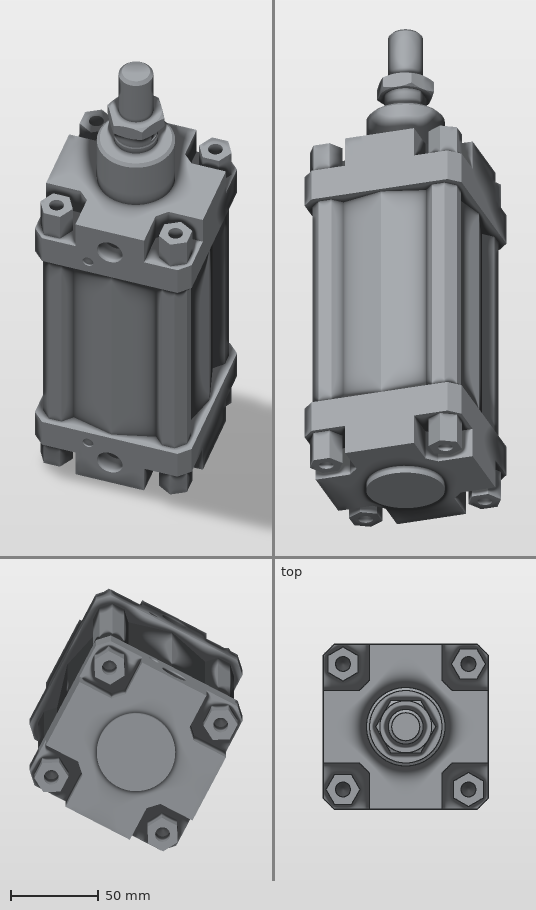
import cadquery as cq
import math


total_height = 293.0
rear_boss_height = 4.5
cap_height = 36.0
front_cap_top = 207.2
front_boss_top = 239.0
rear_cap_base = rear_boss_height
rear_cap_top = rear_cap_base + cap_height
front_cap_base = front_cap_top - cap_height

cap_width = 95.0
cap_corner_chamfer = 6.5
arm_half_width = 20.8
pocket_depth = 17.5
pocket_chamfer = 6.0

boss_diameter = 45.0
boss_chamfer = 1.8

tie_offset = 36.0
tie_nut_flats = 17.0
tie_hole_diameter = 8.5
tie_hole_depth = 17.5
drill_point_angle = 118.0

port_diameter = 15.5
port_depth = 11.7
port_inset = 16.0
screw_hole_diameter = 6.5
screw_hole_depth = 1.2
screw_hole_inset = 27.8
screw_hole_x = -13.2

barrel_half_width = 43.7
pillar_outer_edge = 38.0
pillar_inner_edge = 30.5
groove_step = 5.5
ridge_height = 44.5

thread_diameter = 20.0
thread_chamfer = 1.9
neck_diameter = 24.5
flats_width = 22.0
flats_base = 245.0
collar_diameter = 25.5
collar_height = 3.5
collar_taper_height = 1.0

nut_base = 253.0
nut_height = 8.8
nut_flats = 30.0
nut_chamfer_angle = 30.0


def hex_corner_diameter(across_flats):
    return across_flats / math.cos(math.pi / 6)


def make_barrel():
    """Barrel with four corner pillars and a shallow ridge along the middle of each side."""
    groove_edge = pillar_inner_edge - groove_step
    groove_floor = barrel_half_width - groove_step
    half_side = [
        (groove_floor, groove_edge),
        (barrel_half_width, pillar_inner_edge),
        (barrel_half_width, pillar_outer_edge),
    ]
    side = [(x, -y) for x, y in reversed(half_side)] + [(ridge_height, 0)] + half_side
    outline = []
    for cosine, sine in [(1, 0), (0, 1), (-1, 0), (0, -1)]:
        outline += [(x * cosine - y * sine, x * sine + y * cosine) for x, y in side]
    barrel = cq.Workplane("XY").workplane(offset=rear_cap_top)
    return barrel.polyline(outline).close().extrude(front_cap_base - rear_cap_top)


def make_tie_nut(x, y):
    """Hexagonal tie nut rising from the pocket floor to the outer face of the cap."""
    nut = (
        cq.Workplane("XY")
        .workplane(offset=cap_height - pocket_depth)
        .polygon(6, hex_corner_diameter(tie_nut_flats))
        .extrude(pocket_depth)
    )
    if x * y < 0:
        nut = nut.rotate((0, 0, 0), (0, 0, 1), 30)
    return nut.translate((x, y, 0))


def make_tie_hole(x, y):
    """Blind drill hole with a conical end, entering from the cap's outer face."""
    radius = tie_hole_diameter / 2
    point_height = radius / math.tan(math.radians(drill_point_angle / 2))
    profile = [(0, 0), (radius, 0), (radius, -tie_hole_depth), (0, -tie_hole_depth - point_height)]
    hole = cq.Workplane("XZ").polyline(profile).close().revolve(360, (0, 0), (0, 1))
    return hole.translate((x, y, cap_height))


def make_side_hole(x, z, diameter, depth):
    return (
        cq.Workplane("XZ", origin=(x, -cap_width / 2, z))
        .circle(diameter / 2)
        .extrude(-depth)
    )


def make_cap():
    """End cap with its barrel side on Z = 0 and its outer face up."""
    cap = cq.Workplane("XY").rect(cap_width, cap_width).extrude(cap_height)
    cap = cap.edges("|Z").chamfer(cap_corner_chamfer)
    tie_points = [(x, y) for x in (-tie_offset, tie_offset) for y in (-tie_offset, tie_offset)]
    pocket_size = cap_width / 2 - arm_half_width
    pocket_center = arm_half_width + pocket_size / 2
    for x, y in tie_points:
        side_x = math.copysign(1, x)
        side_y = math.copysign(1, y)
        pocket = (
            cq.Workplane("XY", origin=(side_x * pocket_center, side_y * pocket_center, cap_height))
            .rect(pocket_size, pocket_size)
            .extrude(-pocket_depth)
            .edges("|Z")
            .edges(cq.selectors.NearestToPointSelector((0, 0, cap_height)))
            .chamfer(pocket_chamfer)
        )
        cap = cap.cut(pocket)
    for x, y in tie_points:
        cap = cap.union(make_tie_nut(x, y)).cut(make_tie_hole(x, y))
    cap = cap.cut(make_side_hole(0, cap_height - port_inset, port_diameter, port_depth))
    screw_hole_z = cap_height - screw_hole_inset
    return cap.cut(make_side_hole(screw_hole_x, screw_hole_z, screw_hole_diameter, screw_hole_depth))


def make_boss(base, height):
    return cq.Workplane("XY").workplane(offset=base).circle(boss_diameter / 2).extrude(height)


def make_housing():
    cap = make_cap()
    front_cap = cap.translate((0, 0, front_cap_base))
    rear_cap = cap.mirror("XY").translate((0, 0, rear_cap_top))
    front_boss = make_boss(front_cap_top, front_boss_top - front_cap_top)
    front_boss = front_boss.faces(">Z").chamfer(boss_chamfer)
    rear_boss = make_boss(0, rear_boss_height)
    return make_barrel().union(front_cap).union(rear_cap).union(front_boss).union(rear_boss)


def make_rod():
    """Turned rod standing on the front boss, with two wrench flats on its neck."""
    thread_radius = thread_diameter / 2
    neck_radius = neck_diameter / 2
    collar_radius = collar_diameter / 2
    collar_top = front_boss_top + collar_height
    profile = [
        (0, front_boss_top),
        (collar_radius, front_boss_top),
        (collar_radius, collar_top),
        (neck_radius, collar_top + collar_taper_height),
        (neck_radius, nut_base),
        (thread_radius, nut_base),
        (thread_radius, total_height - thread_chamfer),
        (thread_radius - thread_chamfer, total_height),
        (0, total_height),
    ]
    rod = cq.Workplane("XZ").polyline(profile).close().revolve(360, (0, 0), (0, 1))
    flats_cut = (
        cq.Workplane("XY")
        .workplane(offset=flats_base)
        .rect(collar_diameter, collar_diameter)
        .rect(flats_width, neck_diameter)
        .extrude(nut_base - flats_base)
    )
    return rod.cut(flats_cut)


def make_lock_nut():
    """Hexagonal nut with corners on X and conically chamfered ends, seated on the neck shoulder."""
    corner_diameter = hex_corner_diameter(nut_flats)
    corner_overhang = (corner_diameter - nut_flats) / 2
    chamfer_height = corner_overhang * math.tan(math.radians(nut_chamfer_angle))
    nut = cq.Workplane("XY").polygon(6, corner_diameter).extrude(nut_height)
    envelope = (
        cq.Workplane("XY")
        .circle(corner_diameter / 2)
        .extrude(nut_height)
        .faces("<Z or >Z")
        .chamfer(chamfer_height, corner_overhang)
    )
    bore = cq.Workplane("XY").circle(thread_diameter / 2).extrude(nut_height)
    return nut.intersect(envelope).cut(bore).translate((0, 0, nut_base))


housing = make_housing()
rod = make_rod()
lock_nut = make_lock_nut()

result = cq.Compound.makeCompound([housing.val(), rod.val(), lock_nut.val()])